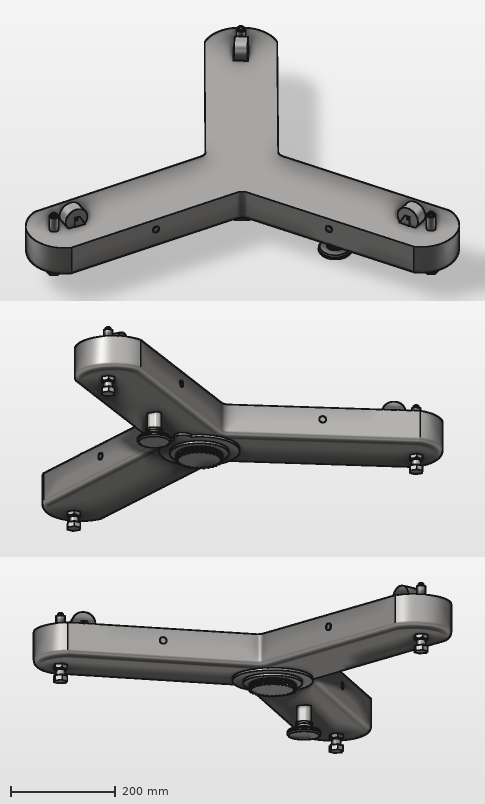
import cadquery as cq
import math

SPAN_Y = 833.0
ARM_COUNT = 3
ARM_ANGLE = 360 / ARM_COUNT
ARM_WIDTH = 140.0
TIP_RADIUS = 74.0
BODY_HEIGHT = 67.0
INNER_CORNER_RADIUS = 17.0
BOTTOM_FILLET = 12.5
HALF_WIDTH = ARM_WIDTH / 2
TIP_CENTER = (SPAN_Y / 2 - TIP_RADIUS) / math.sin(math.radians(ARM_ANGLE))
TIP_START = TIP_CENTER + math.sqrt(TIP_RADIUS**2 - HALF_WIDTH**2)

SIDE_HOLE_DIAMETER = 13.0
SIDE_HOLE_DEPTH = 2.0
SIDE_HOLE_REACH = 232.0
SIDE_HOLE_Z = 42.5

BOLT_REACH = 418.0
BOLT_DIAMETER = 17.5
BOLT_SHOULDER_Z = 97.5
BOLT_POINT_DIAMETER = 11.0
BOLT_POINT_HEIGHT = 7.0
BOLT_POINT_CHAMFER = 2.5
BOLT_HEAD_TOP_Z = -22.0
BOLT_END_Z = -32.5
HEX_CORNERS = 27.5
NUT_HEIGHT = 10.0
NUT_CHAMFER = 3.0

WHEEL_REACH = 375.0
WHEEL_RADIUS = 23.0
WHEEL_WIDTH = 26.0
WHEEL_AXIS_Z = 82.5
CASTER_SWIVEL = -3
FORK_WIDTH = 28.0
FORK_TOP = 5.0
FORK_OUTER = 4.0
FORK_TOP_INNER = -6.25
FORK_FOOT_INNER = -18.0
AXLE_DIAMETER = 3.0
AXLE_LENGTH = 30.0

FLANGE_DIAMETER = 155.0
FLANGE_BOTTOM_Z = -5.0
FLANGE_PAD_DIAMETER = 37.0
FLANGE_PAD_X = 76.0
HUB_DIAMETER = 113.0
HUB_BOTTOM_Z = -10.0
RING_CORE_DIAMETER = 82.5
RING_DIAMETER = 90.0
RING_BOTTOM_Z = -23.0
RING_TOP_LEVELS = (-12.5, -19.0)
RING_THICKNESS = 4.0
TOOTH_COUNT = 30

KNOB_X = 207.0
STEM_WIDTH = 18.0
STEM_LENGTH = 28.0
COLLAR_DIAMETER = 32.5
COLLAR_NECK_DIAMETER = 28.0
COLLAR_TOP_Z = -33.0
NECK_TOP_Z = -37.5
NECK_BOTTOM_Z = -43.0
KNOB_TOP_Z = -47.0
KNOB_SLOPE_DIAMETER = 60.0
KNOB_DIAMETER = 65.0
KNOB_SHOULDER_Z = -48.0
KNOB_RIM_Z = -52.0
KNOB_LOWER_RIM_Z = -55.0
KNOB_BOTTOM_Z = -58.0


def cylinder(diameter, bottom, top, x=0.0):
    disc = cq.Workplane("XY", origin=(x, 0, bottom)).circle(diameter / 2)
    return disc.extrude(top - bottom)


def hexagon_prism(bottom, top, x):
    """A hexagonal prism with two of its corners on the Y direction."""
    base = cq.Workplane("XY", origin=(x, 0, bottom)).transformed(rotate=(0, 0, 90))
    return base.polygon(6, HEX_CORNERS).extrude(top - bottom)


def on_every_arm(shape):
    """Copies a shape built on the +X arm to all arms."""
    copies = cq.Workplane("XY")
    for index in range(ARM_COUNT):
        copies = copies.add(shape.rotate((0, 0, 0), (0, 0, 1), index * ARM_ANGLE))
    return copies.combine()


def body():
    arm = (
        cq.Workplane("XY")
        .moveTo(0, -HALF_WIDTH)
        .lineTo(TIP_START, -HALF_WIDTH)
        .threePointArc((TIP_CENTER + TIP_RADIUS, 0), (TIP_START, HALF_WIDTH))
        .lineTo(0, HALF_WIDTH)
        .lineTo(-HALF_WIDTH / math.sqrt(3), 0)
        .close()
        .extrude(BODY_HEIGHT)
    )
    plate = on_every_arm(arm).clean()
    corner_zone = cq.selectors.BoxSelector((-ARM_WIDTH, -ARM_WIDTH, 0), (ARM_WIDTH, ARM_WIDTH, BODY_HEIGHT))
    plate = plate.edges("|Z").edges(corner_zone).fillet(INNER_CORNER_RADIUS)
    return plate.faces("<Z").edges().fillet(BOTTOM_FILLET)


def side_holes():
    """Plugs that cut the recess on both sides of the +X arm."""
    plugs = cq.Workplane("XZ", origin=(SIDE_HOLE_REACH, 0, SIDE_HOLE_Z))
    plugs = plugs.circle(SIDE_HOLE_DIAMETER / 2).extrude(HALF_WIDTH, both=True)
    core = cq.Workplane("XZ", origin=(SIDE_HOLE_REACH, 0, SIDE_HOLE_Z)).circle(SIDE_HOLE_DIAMETER)
    core = core.extrude(HALF_WIDTH - SIDE_HOLE_DEPTH, both=True)
    return plugs.cut(core)


def bolt():
    point = cylinder(
        BOLT_POINT_DIAMETER, BOLT_SHOULDER_Z, BOLT_SHOULDER_Z + BOLT_POINT_HEIGHT, BOLT_REACH
    )
    point = point.faces(">Z").chamfer(BOLT_POINT_CHAMFER)
    shank = cylinder(BOLT_DIAMETER, BOLT_END_Z, BOLT_SHOULDER_Z, BOLT_REACH)
    nut_blank = cylinder(HEX_CORNERS, -NUT_HEIGHT, 0, BOLT_REACH).faces("<Z").chamfer(NUT_CHAMFER)
    nut = hexagon_prism(-NUT_HEIGHT, 0, BOLT_REACH).intersect(nut_blank)
    head = hexagon_prism(BOLT_END_Z, BOLT_HEAD_TOP_Z, BOLT_REACH)
    return shank.union(point).union(nut).union(head)


def caster():
    side = cq.Workplane("XZ", origin=(WHEEL_REACH, 0, WHEEL_AXIS_Z))
    foot = BODY_HEIGHT - WHEEL_AXIS_Z
    wheel = side.circle(WHEEL_RADIUS).extrude(WHEEL_WIDTH / 2, both=True)
    fork = (
        side.moveTo(FORK_FOOT_INNER, foot)
        .lineTo(FORK_TOP_INNER, FORK_TOP)
        .lineTo(FORK_OUTER, FORK_TOP)
        .lineTo(FORK_OUTER, foot)
        .close()
        .extrude(FORK_WIDTH / 2, both=True)
    )
    axle = side.circle(AXLE_DIAMETER / 2).extrude(AXLE_LENGTH / 2, both=True)
    whole = wheel.union(fork).union(axle)
    return whole.rotate((WHEEL_REACH, 0, 0), (WHEEL_REACH, 0, 1), CASTER_SWIVEL)


def toothed_ring(top):
    """A ring whose outline alternates between tooth tips and gaps."""
    quarter_diameters = (RING_DIAMETER, RING_DIAMETER, RING_CORE_DIAMETER, RING_CORE_DIAMETER)
    points = []
    pitch = 2 * math.pi / TOOTH_COUNT
    for tooth in range(TOOTH_COUNT):
        for step, diameter in enumerate(quarter_diameters):
            angle = (tooth + step / len(quarter_diameters)) * pitch
            points.append((diameter / 2 * math.cos(angle), diameter / 2 * math.sin(angle)))
    ring = cq.Workplane("XY", origin=(0, 0, top)).polyline(points).close()
    return ring.extrude(-RING_THICKNESS)


def hub():
    shape = cylinder(FLANGE_DIAMETER, FLANGE_BOTTOM_Z, 0)
    shape = shape.union(cylinder(FLANGE_PAD_DIAMETER, FLANGE_BOTTOM_Z, 0, FLANGE_PAD_X))
    shape = shape.union(cylinder(HUB_DIAMETER, HUB_BOTTOM_Z, 0))
    shape = shape.union(cylinder(RING_CORE_DIAMETER, RING_BOTTOM_Z, 0))
    for top in RING_TOP_LEVELS:
        shape = shape.union(toothed_ring(top))
    return shape


def knob():
    stem = cq.Workplane("XY", origin=(KNOB_X, 0, COLLAR_TOP_Z)).slot2D(STEM_LENGTH, STEM_WIDTH, 90)
    stem = stem.extrude(-COLLAR_TOP_Z)
    profile = [
        (0, COLLAR_TOP_Z),
        (COLLAR_DIAMETER / 2, COLLAR_TOP_Z),
        (COLLAR_DIAMETER / 2, NECK_TOP_Z),
        (COLLAR_NECK_DIAMETER / 2, NECK_TOP_Z),
        (COLLAR_NECK_DIAMETER / 2, NECK_BOTTOM_Z),
        (COLLAR_DIAMETER / 2, NECK_BOTTOM_Z),
        (COLLAR_DIAMETER / 2, KNOB_TOP_Z),
        (KNOB_SLOPE_DIAMETER / 2, KNOB_SHOULDER_Z),
        (KNOB_DIAMETER / 2, KNOB_RIM_Z),
        (KNOB_DIAMETER / 2, KNOB_LOWER_RIM_Z),
        (KNOB_SLOPE_DIAMETER / 2, KNOB_BOTTOM_Z),
        (0, KNOB_BOTTOM_Z),
    ]
    turned = cq.Workplane("XZ").polyline(profile).close().revolve(360, (0, 0, 0), (0, 1, 0))
    return stem.union(turned.translate((KNOB_X, 0, 0)))


result = body().cut(on_every_arm(side_holes()))
for fitting in (on_every_arm(bolt()), on_every_arm(caster()), hub(), knob()):
    result = result.union(fitting)